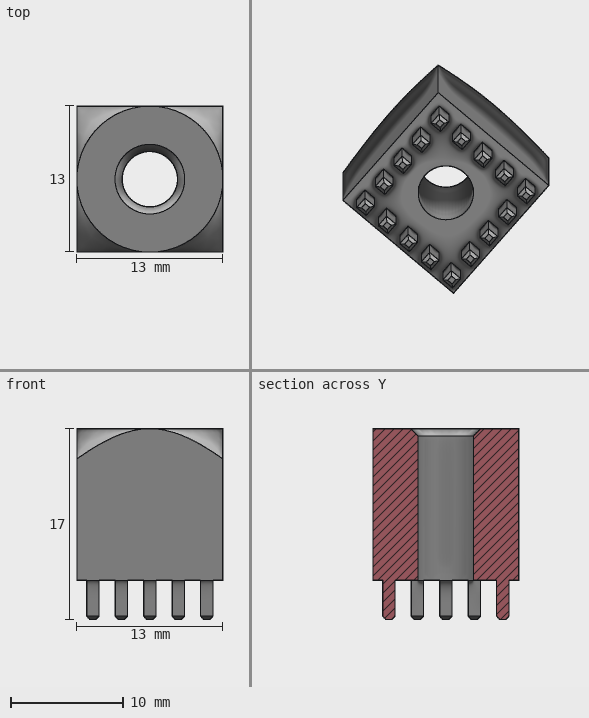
import cadquery as cq

total_height = 17.0
body_width = 13.0
pin_length = 3.5
body_height = total_height - pin_length

bore_diameter = 4.91
countersink_diameter = 6.2
countersink_angle = 90.0

pins_per_side = 5
pin_pitch = 2.53
pin_width = 1.12
pin_tip_chamfer = 0.3


def make_body():
    """Square block whose top corners are turned down by a 45 degree cone."""
    block = cq.Workplane("XY").rect(body_width, body_width).extrude(body_height)
    top_radius = body_width / 2
    base_radius = top_radius + body_height
    turning_cone = (
        cq.Workplane("XZ")
        .polyline([(0, 0), (base_radius, 0), (top_radius, body_height), (0, body_height)])
        .close()
        .revolve(360, (0, 0), (0, 1))
    )
    return block.intersect(turning_cone)


def drill_bore(body):
    """Countersunk hole down the middle of the block."""
    top_face = body.faces(">Z").workplane(origin=(0, 0, body_height))
    return top_face.cskHole(bore_diameter, countersink_diameter, countersink_angle)


def make_pin():
    """Square pin hanging below the block, with its tip edges chamfered."""
    pin = cq.Workplane("XY").rect(pin_width, pin_width).extrude(-pin_length)
    return pin.faces("<Z").chamfer(pin_tip_chamfer)


def add_pins(body):
    """Pins on the outer ring of a square grid; the inner positions are empty."""
    outer_index = pins_per_side // 2
    grid_indices = range(-outer_index, outer_index + 1)
    pin = make_pin()
    for column in grid_indices:
        for row in grid_indices:
            if max(abs(column), abs(row)) == outer_index:
                body = body.union(pin.translate((column * pin_pitch, row * pin_pitch, 0)))
    return body


result = add_pins(drill_bore(make_body())).translate((0, 0, pin_length))